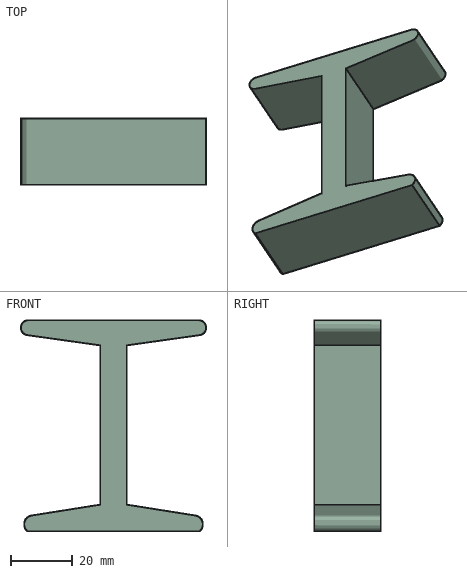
import cadquery as cq
import math

height = 69.2
length = 21.8
web_thickness = 8.8

top_width = 60.8
top_tip_radius = 2.5
top_taper = 8.0

bottom_width = 58.6
bottom_tip_radius = 3.0
bottom_tip_center_depth = 2.3
bottom_taper = 9.0


def flange(width, tip_radius, center_depth, taper):
    """Flange extruded along Y, flat face at Z = 0 and tapered faces towards +Z."""
    angle = math.radians(taper)
    tip_x = width / 2
    center_x = tip_x - tip_radius
    flat_x = center_x + math.sqrt(tip_radius**2 - center_depth**2)
    tangent_x = center_x + tip_radius * math.sin(angle)
    tangent_z = center_depth + tip_radius * math.cos(angle)
    root_x = web_thickness / 2
    root_z = tangent_z + (tangent_x - root_x) * math.tan(angle)
    return (
        cq.Workplane("XZ")
        .moveTo(-flat_x, 0)
        .lineTo(flat_x, 0)
        .threePointArc((tip_x, center_depth), (tangent_x, tangent_z))
        .lineTo(root_x, root_z)
        .lineTo(-root_x, root_z)
        .lineTo(-tangent_x, tangent_z)
        .threePointArc((-tip_x, center_depth), (-flat_x, 0))
        .close()
        .extrude(length / 2, both=True)
    )


web = cq.Workplane("XY").box(web_thickness, length, height, centered=(True, True, False))
bottom_flange = flange(bottom_width, bottom_tip_radius, bottom_tip_center_depth, bottom_taper)
top_flange = (
    flange(top_width, top_tip_radius, top_tip_radius, top_taper)
    .mirror("XY")
    .translate((0, 0, height))
)

result = web.union(bottom_flange).union(top_flange).clean()